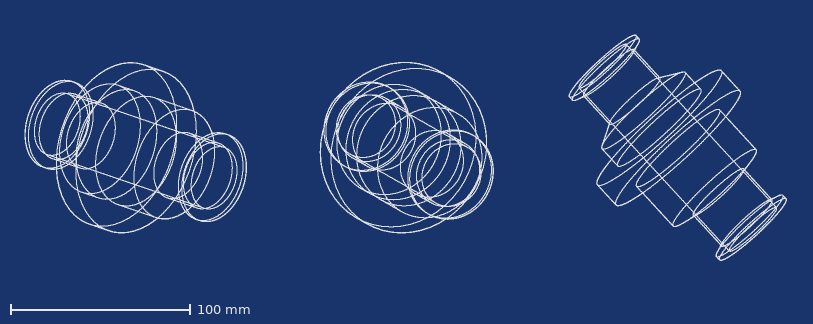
import cadquery as cq

length = 125.0
bore_diameter = 35.8

pipe_diameter = 38.1
ferrule_diameter = 50.5
body_diameter = 63.0
flange_diameter = 94.0

rim_width = 2.8
taper_width = 2.2
ferrule_width = rim_width + taper_width

inlet_cone_start = 26.8
body_start = 34.0
flange_start = 47.1
flange_width = 15.6
body_end = 93.2
outlet_cone_end = 96.4


def cylinder(start, end, diameter):
    """Solid cylinder about the X axis."""
    return cq.Workplane("YZ", origin=(start, 0, 0)).circle(diameter / 2).extrude(end - start)


def make_ferrule():
    """Clamp ferrule with its sealing face at X = 0."""
    profile = [
        (0, 0),
        (0, ferrule_diameter / 2),
        (rim_width, ferrule_diameter / 2),
        (ferrule_width, pipe_diameter / 2),
        (ferrule_width, 0),
    ]
    return cq.Workplane("XY").polyline(profile).close().revolve(360, (0, 0, 0), (1, 0, 0))


def make_body():
    """Central chamber, coned down to the pipe at both ends."""
    profile = [
        (inlet_cone_start, 0),
        (inlet_cone_start, pipe_diameter / 2),
        (body_start, body_diameter / 2),
        (body_end, body_diameter / 2),
        (outlet_cone_end, pipe_diameter / 2),
        (outlet_cone_end, 0),
    ]
    return cq.Workplane("XY").polyline(profile).close().revolve(360, (0, 0, 0), (1, 0, 0))


pipe = cylinder(0, length, pipe_diameter)
flange = cylinder(flange_start, flange_start + flange_width, flange_diameter)
bore = cylinder(0, length, bore_diameter)

inlet_ferrule = make_ferrule()
outlet_ferrule = inlet_ferrule.mirror("YZ").translate((length, 0, 0))

result = pipe.union(make_body()).union(flange)
result = result.union(inlet_ferrule).union(outlet_ferrule).cut(bore)